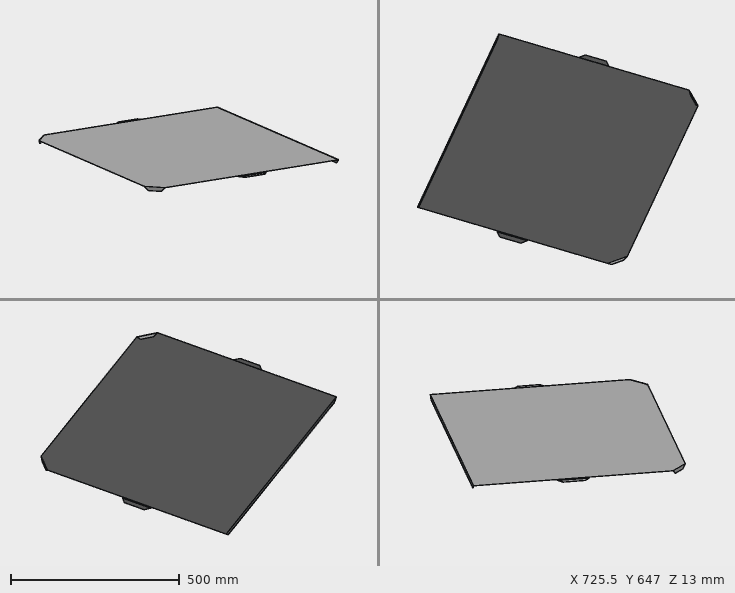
import cadquery as cq
import math

overall_width = 725.5
depth = 647.0
height = 13.0
thickness = 1.0

tab_reach = 17.5
tab_root_length = 99.0
tab_taper = 16.0
tab_center_y = 23.0
joggle_drop = 2.0
joggle_run = 2.0

corner_cut = 45.0
half_width = overall_width / 2 - tab_reach
half_depth = depth / 2


def make_panel():
    """Flat sheet with its two front corners cut at 45 degrees; top face at Z = 0."""
    outline = [
        (-half_width, half_depth),
        (half_width, half_depth),
        (half_width, corner_cut - half_depth),
        (half_width - corner_cut, -half_depth),
        (corner_cut - half_width, -half_depth),
        (-half_width, corner_cut - half_depth),
    ]
    return cq.Workplane("XY").polyline(outline).close().extrude(-thickness)


def make_flange(edge_x, edge_y, outward_angle, length):
    """Downward flange flush with a panel edge, its ends tapered at 45 degrees."""
    half_length = length / 2
    taper = height - thickness
    outline = [
        (-half_length, 0),
        (half_length, 0),
        (half_length, -thickness),
        (half_length - taper, -height),
        (taper - half_length, -height),
        (-half_length, -thickness),
    ]
    flange = cq.Workplane("XZ").polyline(outline).close().extrude(-thickness)
    turn = outward_angle + 90
    return flange.rotate((0, 0, 0), (0, 0, 1), turn).translate((edge_x, edge_y, 0))


def make_right_tab():
    """Tab that steps down from the right edge and narrows toward its tip."""
    root = half_width
    step_end = root + joggle_run
    tip = root + tab_reach
    profile = [
        (root, 0),
        (step_end, -joggle_drop),
        (tip, -joggle_drop),
        (tip, -joggle_drop - thickness),
        (step_end, -joggle_drop - thickness),
        (root, -thickness),
    ]
    half_root = tab_root_length / 2
    half_tip = half_root - tab_taper
    plan = [(root, half_root), (tip, half_tip), (tip, -half_tip), (root, -half_root)]
    strip = cq.Workplane("XZ").polyline(profile).close().extrude(half_root, both=True)
    trim = cq.Workplane("XY").polyline(plan).close().extrude(-height)
    return strip.intersect(trim).translate((0, tab_center_y, 0))


result = make_panel()

result = result.union(make_flange(0, half_depth, 90, 2 * half_width))

cut_length = corner_cut * math.sqrt(2)
cut_middle_x = half_width - corner_cut / 2
cut_middle_y = corner_cut / 2 - half_depth
for side, outward_angle in ((1, -45), (-1, -135)):
    result = result.union(make_flange(side * cut_middle_x, cut_middle_y, outward_angle, cut_length))

right_tab = make_right_tab()
result = result.union(right_tab).union(right_tab.mirror("YZ"))